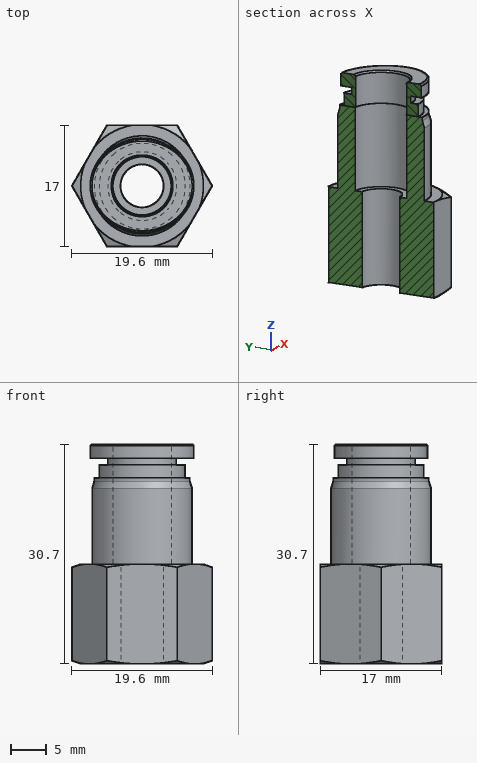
import cadquery as cq

TOTAL_HEIGHT = 30.7

HEX_CORNERS = 19.62
HEX_HEIGHT = 13.9
HEX_FACE_DIAMETER = 17.15
HEX_CHAMFER_HEIGHT = 0.43

BARREL_DIAMETER = 14.0
BARREL_TOP = 24.5
RIM_DIAMETER = 13.4
RIM_BOTTOM = 25.5
RIM_TOP = 25.97

PASSAGE_DIAMETER = 6.0
TUBE_BORE_DIAMETER = 8.2
TUBE_BORE_FLOOR = HEX_HEIGHT

COLLAR_DIAMETER = 12.0
COLLAR_TOP = 27.78
NECK_DIAMETER = 9.6
SLEEVE_BORE_DIAMETER = 8.15
HEAD_LENGTH_X = 14.5
HEAD_LENGTH_Y = 13.02
HEAD_BOTTOM = 28.7
HEAD_CHAMFER = 0.25


def cylinder(diameter, bottom, top):
    """Upright cylinder on the Z axis between two heights."""
    return cq.Workplane("XY").workplane(offset=bottom).circle(diameter / 2).extrude(top - bottom)


def make_hexagon():
    """Hexagonal prism with the corners of both ends turned down to a cone."""
    prism = cq.Workplane("XY").polygon(6, HEX_CORNERS).extrude(HEX_HEIGHT)
    corner_radius = HEX_CORNERS / 2
    face_radius = HEX_FACE_DIAMETER / 2
    turned_blank = (
        cq.Workplane("XZ")
        .moveTo(0, 0)
        .lineTo(face_radius, 0)
        .lineTo(corner_radius, HEX_CHAMFER_HEIGHT)
        .lineTo(corner_radius, HEX_HEIGHT - HEX_CHAMFER_HEIGHT)
        .lineTo(face_radius, HEX_HEIGHT)
        .lineTo(0, HEX_HEIGHT)
        .close()
        .revolve(360, (0, 0, 0), (0, 1, 0))
    )
    return prism.intersect(turned_blank)


def make_barrel():
    """Round barrel with a tapered shoulder and a short straight rim on top."""
    return (
        cq.Workplane("XZ")
        .moveTo(0, HEX_HEIGHT)
        .lineTo(BARREL_DIAMETER / 2, HEX_HEIGHT)
        .lineTo(BARREL_DIAMETER / 2, BARREL_TOP)
        .lineTo(RIM_DIAMETER / 2, RIM_BOTTOM)
        .lineTo(RIM_DIAMETER / 2, RIM_TOP)
        .lineTo(0, RIM_TOP)
        .close()
        .revolve(360, (0, 0, 0), (0, 1, 0))
    )


def make_body():
    """Hexagon and barrel in one piece, with a passage and a wider tube bore."""
    solid = make_hexagon().union(make_barrel())
    solid = solid.cut(cylinder(PASSAGE_DIAMETER, 0, RIM_TOP))
    return solid.cut(cylinder(TUBE_BORE_DIAMETER, TUBE_BORE_FLOOR, RIM_TOP))


def make_release_sleeve():
    """Collar, neck and oval head in one piece, bored through and chamfered at the top."""
    collar = cylinder(COLLAR_DIAMETER, RIM_TOP, COLLAR_TOP)
    neck = cylinder(NECK_DIAMETER, COLLAR_TOP, HEAD_BOTTOM)
    head = (
        cq.Workplane("XY")
        .workplane(offset=HEAD_BOTTOM)
        .ellipse(HEAD_LENGTH_X / 2, HEAD_LENGTH_Y / 2)
        .extrude(TOTAL_HEIGHT - HEAD_BOTTOM)
    )
    sleeve = collar.union(neck).union(head)
    sleeve = sleeve.cut(cylinder(SLEEVE_BORE_DIAMETER, RIM_TOP, TOTAL_HEIGHT))
    return sleeve.faces(">Z").edges().chamfer(HEAD_CHAMFER)


body = make_body()
release_sleeve = make_release_sleeve()

result = cq.Compound.makeCompound([body.solids().val(), release_sleeve.solids().val()])